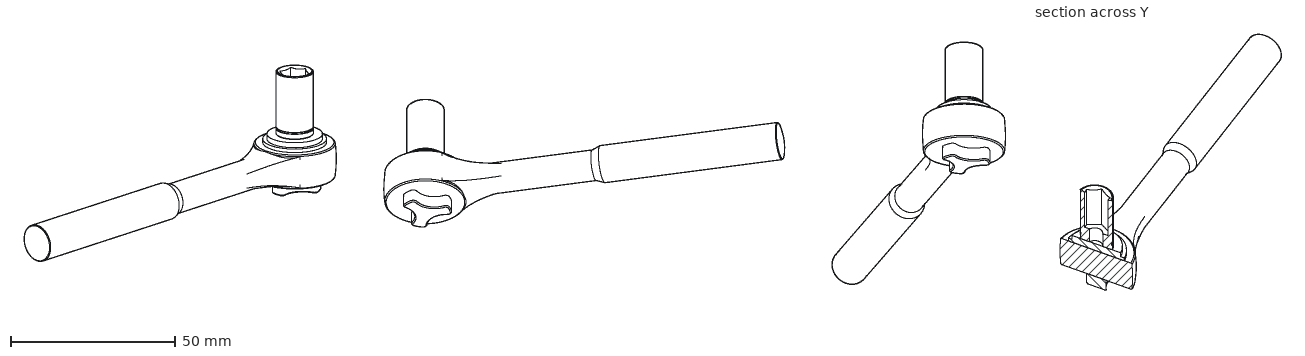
import cadquery as cq
import math


head_radius = 12.7
head_rim_radius = 12.3
head_half_height = 5.5
head_edge_chamfer = 0.4

shank_radius = 4.7
grip_radius = 5.7
taper_start = 52.9
taper_end = 55.5
grip_end = 111.1
dome_height = 0.9
grip_edge_chamfer = 0.2

neck_sections = [
    (7.6, 9.8, 10.1, 5.0, 5.5),
    (12.5, 6.9, 7.4, 3.9, 5.2),
    (17.8, 5.1, 5.5, 3.0, 4.7),
    (25.2, 4.1, 4.6, 2.2, 4.1),
]

cap_flange_radius = 9.7
cap_flange_height = 1.1
cap_boss_radius = 8.5
cap_height = 2.7

socket_radius = 5.7
socket_top = 28.4
socket_edge_chamfer = 0.2
hex_sides = 6
socket_hex_width = 8.0
socket_hex_depth = 15.0
socket_pilot_diameter = 5.0
lead_in_diameter = 10.5
lead_in_depth = 0.7
groove_radius = 5.5
groove_bottom = 10.0
groove_width = 0.5

knob_radius = 8.0
knob_height = 4.1
knob_lobes = 3
knob_hub_radius = 3.5
first_flute_angle = 90
knob_flute_radius = 6.1
knob_corner_fillet = 1.2
knob_edge_chamfer = 0.4

cap_bottom = head_half_height
cap_top = cap_bottom + cap_height
socket_bottom = cap_top


def make_head():
    """Barrel-shaped head with chamfered rims."""
    rim = (head_rim_radius, head_half_height)
    return (
        cq.Workplane("XZ")
        .moveTo(0, -head_half_height)
        .lineTo(head_rim_radius, -head_half_height)
        .threePointArc((head_radius, 0), rim)
        .lineTo(0, head_half_height)
        .close()
        .revolve(360, (0, 0), (0, 1))
        .faces("|Z")
        .chamfer(head_edge_chamfer)
    )


def make_neck_section(distance, edge_x, middle_x, edge_z, middle_z):
    """Closed section with four bowed sides, square to the handle axis."""
    return (
        cq.Workplane("XZ", origin=(0, -distance, 0))
        .moveTo(-edge_x, edge_z)
        .threePointArc((0, middle_z), (edge_x, edge_z))
        .threePointArc((middle_x, 0), (edge_x, -edge_z))
        .threePointArc((0, -middle_z), (-edge_x, -edge_z))
        .threePointArc((-middle_x, 0), (-edge_x, edge_z))
        .close()
        .wires()
        .val()
    )


def make_neck():
    """Smooth transition from the head down to the round shank."""
    sections = [make_neck_section(*sizes) for sizes in neck_sections]
    return cq.Workplane(cq.Solid.makeLoft(sections))


def make_handle():
    """Shank, taper and grip with a domed end, revolved about the Y axis."""
    dome_radius = grip_radius - grip_edge_chamfer
    dome_sphere = (dome_radius**2 + dome_height**2) / (2 * dome_height)
    half_angle = math.asin(dome_radius / dome_sphere) / 2
    dome_middle = (
        dome_sphere * math.sin(half_angle),
        -grip_end - dome_height + dome_sphere * (1 - math.cos(half_angle)),
    )
    return (
        cq.Workplane("XY")
        .lineTo(shank_radius, 0)
        .lineTo(shank_radius, -taper_start)
        .lineTo(grip_radius, -taper_end)
        .lineTo(grip_radius, -grip_end + grip_edge_chamfer)
        .lineTo(dome_radius, -grip_end)
        .threePointArc(dome_middle, (0, -grip_end - dome_height))
        .close()
        .revolve(360, (0, 0), (0, 1))
    )


def make_wrench():
    """Head, neck and handle as one solid."""
    return make_head().union(make_handle()).union(make_neck())


def make_cap():
    """Round cap with a wider flange resting on the head."""
    base = cq.Workplane("XY", origin=(0, 0, cap_bottom))
    flange = base.circle(cap_flange_radius).extrude(cap_flange_height)
    boss = base.circle(cap_boss_radius).extrude(cap_height)
    return flange.union(boss)


def make_socket():
    """Round socket with a hex bore, pilot hole, lead-in cone and marking groove."""
    body = (
        cq.Workplane("XY", origin=(0, 0, socket_bottom))
        .circle(socket_radius)
        .extrude(socket_top - socket_bottom)
        .faces("|Z")
        .chamfer(socket_edge_chamfer)
    )
    hex_corner_diameter = socket_hex_width / math.cos(math.pi / hex_sides)
    hex_bore = (
        cq.Workplane("XY", origin=(0, 0, socket_top))
        .transformed(rotate=(0, 0, 180 / hex_sides))
        .polygon(hex_sides, hex_corner_diameter)
        .extrude(-socket_hex_depth)
    )
    pilot = (
        cq.Workplane("XY", origin=(0, 0, socket_bottom))
        .circle(socket_pilot_diameter / 2)
        .extrude(socket_top - socket_bottom)
    )
    lead_in = cq.Workplane(
        cq.Solid.makeCone(
            socket_hex_width / 2,
            lead_in_diameter / 2,
            lead_in_depth,
            cq.Vector(0, 0, socket_top - lead_in_depth),
        )
    )
    groove = (
        cq.Workplane("XY", origin=(0, 0, groove_bottom))
        .circle(socket_radius)
        .circle(groove_radius)
        .extrude(groove_width)
    )
    return body.cut(hex_bore).cut(pilot).cut(lead_in).cut(groove)


def make_knob():
    """Knob with three rounded lobes, one of them pointing along the handle."""
    base = cq.Workplane("XY", origin=(0, 0, -head_half_height))
    knob = base.circle(knob_radius).extrude(-knob_height)
    flutes = (
        base.polarArray(knob_hub_radius + knob_flute_radius, first_flute_angle, 360, knob_lobes)
        .circle(knob_flute_radius)
        .extrude(-knob_height)
    )
    return (
        knob.cut(flutes)
        .edges("|Z")
        .fillet(knob_corner_fillet)
        .faces("<Z")
        .chamfer(knob_edge_chamfer)
    )


wrench = make_wrench()
cap = make_cap()
socket = make_socket()
knob = make_knob()

result = cq.Compound.makeCompound([wrench.val(), cap.val(), socket.val(), knob.val()])